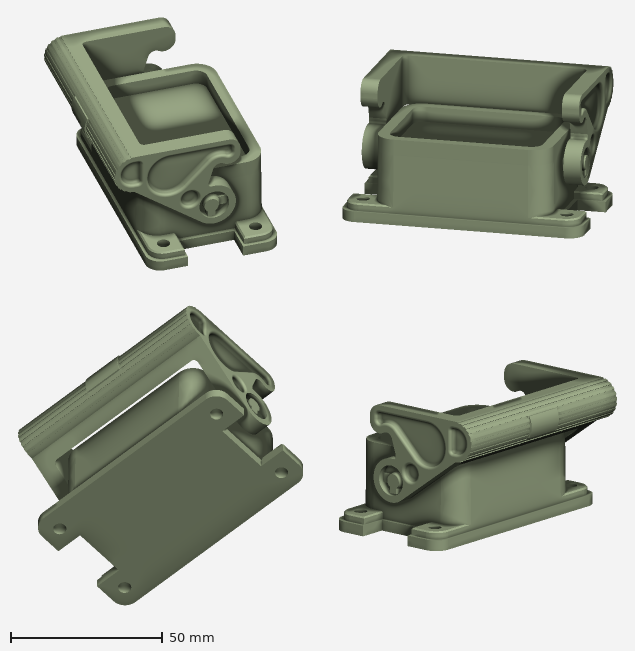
import cadquery as cq
import math

base_length = 82.5
base_width = 45.5
flange_height = 3.6
flange_radius = 5.1
notch_width = 19.1
notch_bottom_length = 63.2

pad_length = 80.0
pad_radius = 5.1
pad_top = 6.2
pad_half_gap = 10.3
pad_chamfer = 0.5
pad_gap_length = 43.7
hole_diameter = 4.4
hole_x = 34.8
hole_y = 16.0

body_top = 29.0
body_taper_top = 23.7
body_length = 59.9
body_width = 42.9
body_flare = 0.25
body_radius = 7.2
foot_length = body_length + 2 * body_flare
foot_width = body_width + 2 * body_flare
body_draft = math.degrees(math.atan(body_flare / (body_taper_top - flange_height)))
recess_length = 52.1
recess_width = 35.6
recess_radius = 3.9
recess_depth = 5.2

lever_top = 44.7
lever_half_length = 37.4
leg_inner_x = 31.5
bar_inner_y = -22.85
bar_corner_radius = 1.65
bar_y = -27.0
bar_radius = 6.9
bar_z = lever_top - bar_radius

pivot_y = 0.8
pivot_z = 19.8
pivot_radius = 7.5
neck_y = -1.15
neck_top = 29.0
neck_fillet = 0.75
hook_y = 5.98
hook_radius = 3.92
hook_upper_z = lever_top - hook_radius
hook_lower_z = 39.0
throat_y = 2.8
throat_radius = 2.5

groove_pitch = 16.0
groove_first = -67.0
groove_count = 10
groove_width = 0.9
groove_depth = 0.25
plain_half_length = 7.35
plain_low_angle = -40.0
plain_high_angle = 40.0
plate_half_length = 7.0
plate_bottom = 33.9
plate_top = 41.4
plate_height = 0.4

pocket_depth = 2.15
pocket_fillet = 0.9
pocket_margin = 2.55
lobe_y = -14.6
lobe_z = 34.65
slope_radius = throat_radius + 3.05
grip_pocket_y = -24.6
grip_pocket_corner = 1.1
dimple_y = -7.5
dimple_z = 23.7
dimple_radius = 3.0

pivot_recess_radius = 5.16
pivot_recess_depth = 2.8
pin_radius = 3.1
pin_root = 0.8
pin_y = 0.7
pin_z = 19.1
head_radius = 2.5
head_y = -0.1
head_z = 19.6
tongue_width = 2.7
tongue_bottom = 15.5
stop_width = 3.1
stop_height = 0.8


def polar(center, radius, degrees):
    """Point at an angle on a circle."""
    angle = math.radians(degrees)
    return (center[0] + radius * math.cos(angle), center[1] + radius * math.sin(angle))


def direction(start, end):
    """Angle in degrees of the line from start to end."""
    return math.degrees(math.atan2(end[1] - start[1], end[0] - start[0]))


def tangent_angle(point, center, radius, side):
    """Angle on the circle where a line from the point touches it; side is +1 or -1."""
    opening = math.degrees(math.acos(radius / math.dist(point, center)))
    return direction(center, point) + side * opening


def box_between(x_range, y_range, z_range):
    """Box spanning the three ranges."""
    sizes = [high - low for low, high in (x_range, y_range, z_range)]
    corner = (x_range[0], y_range[0], z_range[0])
    return cq.Workplane("XY").box(*sizes, centered=False).translate(corner)


def both_sides(solid):
    """The solid together with its mirror image across the YZ plane."""
    return solid.union(solid.mirror("YZ"))


def side_plane(x):
    """Sketch plane facing +X whose axes are Y and Z."""
    return cq.Workplane("YZ", origin=(x, 0, 0))


def make_flange():
    flange = cq.Workplane("XY").rect(base_length, base_width).extrude(flange_height)
    flange = flange.edges("|Z").fillet(flange_radius)
    notch = box_between(
        (-base_length / 2, -notch_bottom_length / 2),
        (-notch_width / 2, notch_width / 2),
        (0, flange_height),
    )
    return flange.cut(both_sides(notch))


def drafted_block(length, width, radius, top):
    """Rounded block on the flange whose walls lean inwards with the body draft."""
    outline = cq.Sketch().rect(length, width).vertices().fillet(radius)
    block = cq.Workplane("XY", origin=(0, 0, flange_height)).placeSketch(outline)
    return block.extrude(top - flange_height, taper=body_draft)


def make_pads():
    """Corner pads whose long faces lie flush with the walls of the housing body."""
    pads = drafted_block(pad_length, foot_width, pad_radius, pad_top)
    pads = pads.cut(cq.Workplane("XY").rect(base_length, 2 * pad_half_gap).extrude(pad_top))
    pads = pads.cut(cq.Workplane("XY").rect(pad_gap_length, base_width).extrude(pad_top))
    return pads.faces(">Z").edges().chamfer(pad_chamfer)


def rounded_block(z, length, width, radius, height):
    """Upright block with rounded vertical edges standing at height z."""
    block = cq.Workplane("XY", origin=(0, 0, z)).rect(length, width).extrude(height)
    return block.edges("|Z").fillet(radius)


def make_body():
    lower = drafted_block(foot_length, foot_width, body_radius, body_taper_top)
    upper = rounded_block(
        body_taper_top, body_length, body_width, body_radius - body_flare, body_top - body_taper_top
    )
    return lower.union(upper)


def make_housing():
    housing = make_flange().union(make_pads()).union(make_body()).clean()
    recess = rounded_block(
        body_top - recess_depth, recess_length, recess_width, recess_radius, recess_depth
    )
    holes = cq.Workplane("XY").rect(2 * hole_x, 2 * hole_y, forConstruction=True)
    holes = holes.vertices().circle(hole_diameter / 2).extrude(pad_top)
    return housing.cut(recess).cut(holes)


bar = (bar_y, bar_z)
pivot = (pivot_y, pivot_z)
hook_upper = (hook_y, hook_upper_z)
hook_lower = (hook_y, hook_lower_z)
throat_drop = math.sqrt((hook_radius + throat_radius) ** 2 - (hook_y - throat_y) ** 2)
throat = (throat_y, hook_lower_z - throat_drop)
hook_to_throat = direction(hook_lower, throat)


def make_lever_blank():
    bar_bottom = polar(bar, bar_radius, -90)
    pivot_start = tangent_angle(bar_bottom, pivot, pivot_radius, 1) - 360
    pivot_top = pivot_z + pivot_radius
    neck_center = (neck_y + neck_fillet, pivot_top + neck_fillet)
    neck_end = (neck_y, neck_top)
    throat_start = tangent_angle(neck_end, throat, throat_radius, -1) % 360
    throat_end = hook_to_throat + 180
    hook_mid = hook_to_throat / 2
    return (
        side_plane(-lever_half_length)
        .moveTo(hook_y, lever_top)
        .lineTo(bar_y, lever_top)
        .threePointArc(polar(bar, bar_radius, 180), bar_bottom)
        .lineTo(*polar(pivot, pivot_radius, pivot_start))
        .threePointArc(polar(pivot, pivot_radius, 0), polar(pivot, pivot_radius, 90))
        .lineTo(neck_center[0], pivot_top)
        .threePointArc(polar(neck_center, neck_fillet, 225), polar(neck_center, neck_fillet, 180))
        .lineTo(*neck_end)
        .lineTo(*polar(throat, throat_radius, throat_start))
        .threePointArc(
            polar(throat, throat_radius, (throat_start + throat_end) / 2),
            polar(throat, throat_radius, throat_end),
        )
        .threePointArc(polar(hook_lower, hook_radius, hook_mid), polar(hook_lower, hook_radius, 0))
        .lineTo(*polar(hook_upper, hook_radius, 0))
        .threePointArc(polar(hook_upper, hook_radius, 45), polar(hook_upper, hook_radius, 90))
        .close()
        .extrude(2 * lever_half_length)
    )


def make_main_pocket():
    """Pocket following the hook, the throat and a wide lobe next to the bar."""
    lobe = (lobe_y, lobe_z)
    lobe_radius = lever_top - pocket_margin - lobe_z
    corner_radius = hook_radius - pocket_margin
    reach = math.dist(throat, lobe)
    opening = math.degrees(math.acos((slope_radius + lobe_radius) / reach))
    slope_angle = direction(throat, lobe) - opening
    end_y = hook_y + corner_radius
    meet_angle = math.degrees(math.acos((end_y - throat_y) / slope_radius))
    pocket = (
        side_plane(-lever_half_length)
        .moveTo(end_y, lobe_z + lobe_radius)
        .lineTo(*polar(lobe, lobe_radius, 90))
        .threePointArc(polar(lobe, lobe_radius, 180), polar(lobe, lobe_radius, slope_angle - 180))
        .lineTo(*polar(throat, slope_radius, slope_angle))
        .threePointArc(
            polar(throat, slope_radius, (slope_angle + meet_angle) / 2),
            polar(throat, slope_radius, meet_angle),
        )
        .close()
        .extrude(pocket_depth)
    )
    return pocket.edges("|X and >Y").fillet(corner_radius)


def make_grip_pocket():
    """D-shaped pocket concentric with the bar."""
    radius = bar_radius - pocket_margin
    pocket = (
        side_plane(-lever_half_length)
        .moveTo(grip_pocket_y, bar_z + radius)
        .lineTo(bar_y, bar_z + radius)
        .threePointArc(polar(bar, radius, 180), polar(bar, radius, 270))
        .lineTo(grip_pocket_y, bar_z - radius)
        .close()
        .extrude(pocket_depth)
    )
    return pocket.edges("|X and >Y").fillet(grip_pocket_corner)


def make_dimple():
    dimple = side_plane(-lever_half_length).center(dimple_y, dimple_z)
    return dimple.circle(dimple_radius).extrude(pocket_depth)


def cut_pockets(lever):
    for pocket in (make_main_pocket(), make_grip_pocket(), make_dimple()):
        rounded = pocket.faces(">X").edges().fillet(pocket_fillet)
        lever = lever.cut(both_sides(rounded))
    for outer_face in ("<X", ">X"):
        rims = [e for wire in lever.faces(outer_face).val().innerWires() for e in wire.Edges()]
        lever = lever.newObject(rims).fillet(pocket_fillet)
    return lever


def add_grip(lever):
    length = 2 * lever_half_length
    for index in range(groove_count):
        angle = groove_first + index * groove_pitch
        groove = cq.Workplane("XY").box(length, 2 * groove_depth, groove_width)
        if plain_low_angle < angle < plain_high_angle:
            groove = groove.cut(cq.Workplane("XY").box(2 * plain_half_length, bar_radius, bar_radius))
        groove = groove.translate((0, -bar_radius, 0)).rotate((0, 0, 0), (1, 0, 0), -angle)
        lever = lever.cut(groove.translate((0, bar_y, bar_z)))
    plate = side_plane(-plate_half_length).center(bar_y, bar_z).circle(bar_radius + plate_height)
    plate = plate.extrude(2 * plate_half_length)
    front = box_between(
        (-plate_half_length, plate_half_length),
        (bar_y - 2 * bar_radius, bar_y),
        (plate_bottom, plate_top),
    )
    return lever.union(plate.intersect(front))


def make_lever():
    lever = make_lever_blank()
    opening = box_between((-leg_inner_x, leg_inner_x), (bar_inner_y, base_width), (0, base_length))
    lever = lever.cut(opening.edges("|Z and <Y").fillet(bar_corner_radius))
    lever = add_grip(cut_pockets(lever))
    recess = side_plane(-lever_half_length).center(pivot_y, pivot_z)
    recess = recess.circle(pivot_recess_radius).extrude(pivot_recess_depth)
    return lever.cut(both_sides(recess))


def make_pin():
    """Stem from the body into the leg recess, ending in a keyed head level with the leg face."""
    floor_x = pivot_recess_depth - lever_half_length
    stem = side_plane(floor_x).center(pin_y, pin_z).circle(pin_radius)
    stem = stem.extrude(-floor_x - body_length / 2 + pin_root)
    head = (
        side_plane(floor_x)
        .center(pin_y, pin_z)
        .circle(pin_radius)
        .workplane(offset=-pivot_recess_depth)
        .center(head_y - pin_y, head_z - pin_z)
        .circle(head_radius)
        .loft()
    )
    tongue = box_between(
        (floor_x - pivot_recess_depth, floor_x),
        (head_y - tongue_width / 2, head_y + tongue_width / 2),
        (tongue_bottom, head_z),
    )
    stop = box_between(
        (floor_x - stop_height, floor_x),
        (pin_y, pivot_y + pivot_recess_radius),
        (head_z - stop_width / 2, head_z + stop_width / 2),
    )
    return stem.union(head).union(tongue).union(stop)


result = make_housing().union(make_lever()).union(both_sides(make_pin()))